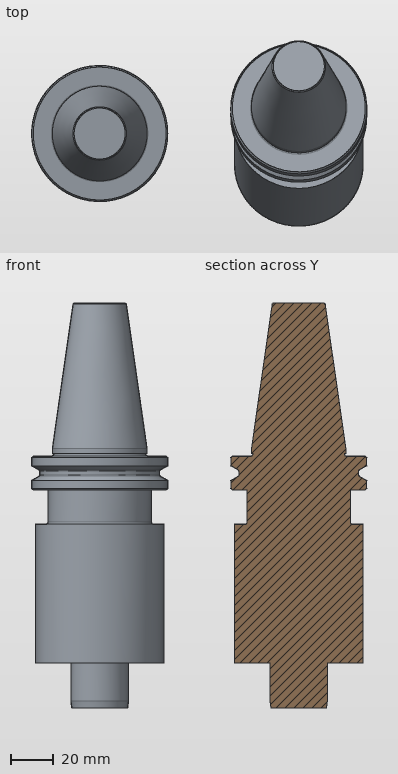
import cadquery as cq
import math

total_height = 189.2
body_bottom_z = 21.0
body_top_z = 86.0
flange_bottom_z = 101.8
flange_top_z = 117.7
gauge_z = 121.3

pin_radius = 27.0 / 2
pin_tip_radius = 13.0
pin_tip_height = 3.5

body_radius = 30.0
neck_radius = 24.2
root_fillet = 1.0

flange_radius = 63.5 / 2
flange_edge_chamfer = 0.8
groove_floor_radius = 56.0 / 2
groove_flank_angle = 30.0
groove_center_z = 109.8
groove_floor_width = 2.5
groove_corner_fillet = 0.5

shank_radius = 22.1
relief_radius = 21.5
relief_top_z = 118.8
taper_tip_radius = 12.5
tip_chamfer = 0.5

groove_depth = flange_radius - groove_floor_radius
flank_height = groove_depth * math.tan(math.radians(groove_flank_angle))
floor_half_width = groove_floor_width / 2
mouth_half_width = floor_half_width + flank_height


pin_profile = [
    (pin_tip_radius, 0),
    (pin_radius, pin_tip_height),
    (pin_radius, body_bottom_z),
]
body_profile = [
    (body_radius, body_bottom_z),
    (body_radius, body_top_z),
    (neck_radius + root_fillet, body_top_z),
]
flange_profile = [
    (neck_radius, flange_bottom_z),
    (flange_radius - flange_edge_chamfer, flange_bottom_z),
    (flange_radius, flange_bottom_z + flange_edge_chamfer),
    (flange_radius, groove_center_z - mouth_half_width),
    (groove_floor_radius, groove_center_z - floor_half_width),
    (groove_floor_radius, groove_center_z + floor_half_width),
    (flange_radius, groove_center_z + mouth_half_width),
    (flange_radius, flange_top_z - flange_edge_chamfer),
    (flange_radius - flange_edge_chamfer, flange_top_z),
    (relief_radius + root_fillet, flange_top_z),
]
shank_profile = [
    (relief_radius, relief_top_z),
    (shank_radius, relief_top_z),
    (shank_radius, gauge_z),
    (taper_tip_radius, total_height - tip_chamfer),
    (taper_tip_radius - tip_chamfer, total_height),
    (0, total_height),
]


def root_fillet_to(outline, radius, face_z):
    """Add a quarter-round fillet from a flat face up to a cylinder of the given radius."""
    center_radius = radius + root_fillet
    center_z = face_z + root_fillet
    diagonal = root_fillet * math.sqrt(0.5)
    middle = (center_radius - diagonal, center_z - diagonal)
    return outline.threePointArc(middle, (radius, center_z))


def add_lines(outline, points):
    """Continue the outline with straight lines through the points."""
    for point in points:
        outline = outline.lineTo(*point)
    return outline


outline = cq.Workplane("XZ").moveTo(0, 0)
outline = add_lines(outline, pin_profile + body_profile)
outline = root_fillet_to(outline, neck_radius, body_top_z)
outline = add_lines(outline, flange_profile)
outline = root_fillet_to(outline, relief_radius, flange_top_z)
outline = add_lines(outline, shank_profile)
holder = outline.close().revolve(360, (0, 0, 0), (0, 1, 0))


def is_groove_corner(edge):
    """Tell whether an edge is one of the two circles bounding the groove floor."""
    return edge.geomType() == "CIRCLE" and math.isclose(edge.radius(), groove_floor_radius)


result = holder.edges().filter(is_groove_corner).fillet(groove_corner_fillet)